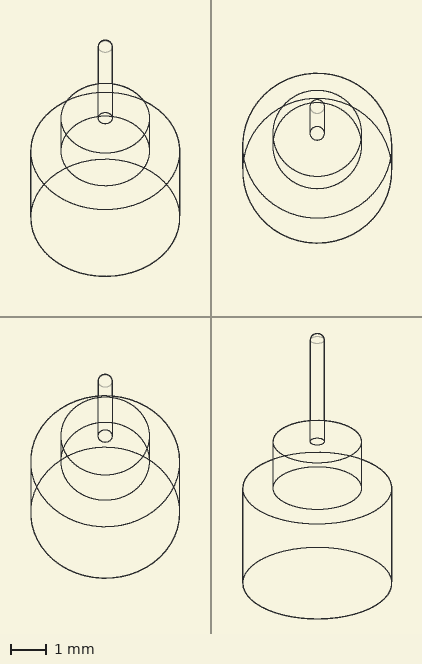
import cadquery as cq

total_height = 8.0

body_diameter = 4.2
body_height = 3.06

collar_diameter = 2.5
collar_top = 4.55

pin_diameter = 0.4
tip_height = 0.18


def cylinder(diameter, bottom, top):
    """Solid cylinder on the Z axis between two heights."""
    return cq.Workplane("XY").workplane(offset=bottom).circle(diameter / 2).extrude(top - bottom)


body = cylinder(body_diameter, 0, body_height)
collar = cylinder(collar_diameter, body_height, collar_top)

pin_radius = pin_diameter / 2
shoulder = total_height - tip_height
dome_radius = (pin_radius**2 + tip_height**2) / (2 * tip_height)
dome = cq.Workplane("XY").sphere(dome_radius).translate((0, 0, total_height - dome_radius))
tip = dome.intersect(cylinder(pin_diameter, shoulder, total_height))
pin = cylinder(pin_diameter, collar_top, shoulder)

result = body.union(collar).union(pin).union(tip)